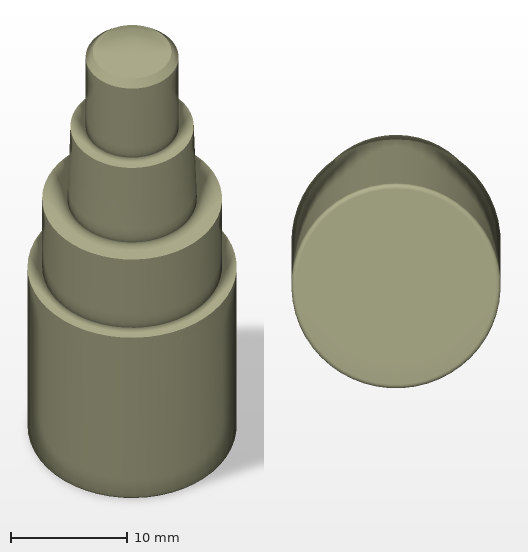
import cadquery as cq

total_height = 44.25
sleeve_height = 18.1
flange_top = 19.03
shoulder_top = 27.05
taper_top = 35.55

outer_diameter = 18.0
shoulder_diameter = 15.5
taper_bottom_diameter = 11.15
taper_top_diameter = 10.6
tip_diameter = 8.0

tip_chamfer = 0.6
sleeve_bottom_fillet = 0.4


def make_sleeve():
    """Plain cylindrical base with a rounded bottom edge."""
    return (
        cq.Workplane("XY")
        .circle(outer_diameter / 2)
        .extrude(sleeve_height)
        .faces("<Z")
        .edges()
        .fillet(sleeve_bottom_fillet)
    )


def make_stepped_pin():
    """Turned pin standing on the sleeve: flange, shoulder, taper and chamfered tip."""
    outer_radius = outer_diameter / 2
    shoulder_radius = shoulder_diameter / 2
    tip_radius = tip_diameter / 2
    profile = [
        (0, sleeve_height),
        (outer_radius, sleeve_height),
        (outer_radius, flange_top),
        (shoulder_radius, flange_top),
        (shoulder_radius, shoulder_top),
        (taper_bottom_diameter / 2, shoulder_top),
        (taper_top_diameter / 2, taper_top),
        (tip_radius, taper_top),
        (tip_radius, total_height - tip_chamfer),
        (tip_radius - tip_chamfer, total_height),
        (0, total_height),
    ]
    return cq.Workplane("XZ").polyline(profile).close().revolve(360, (0, 0), (0, 1))


sleeve = make_sleeve()
stepped_pin = make_stepped_pin()

result = cq.Compound.makeCompound([sleeve.val(), stepped_pin.val()])